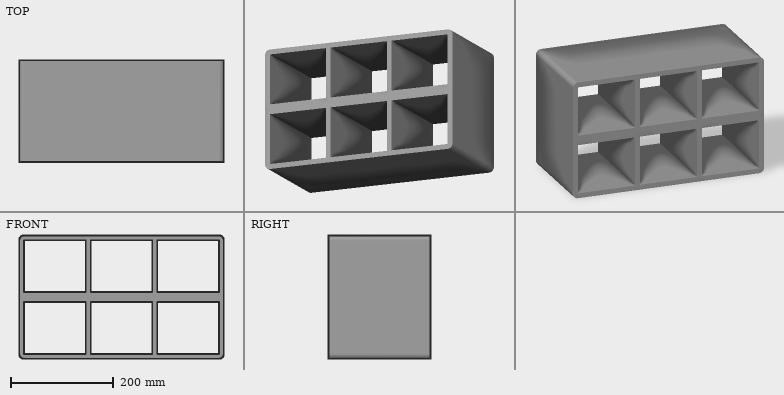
import cadquery as cq

width = 401.5
depth = 200.0
height = 242.0
corner_radius = 10.0

columns = 3
rows = 2
wall = 10.0
shelf = 2 * wall
cell_width = (width - (columns + 1) * wall) / columns
cell_height = (height - 2 * wall - (rows - 1) * shelf) / rows

body = cq.Workplane("XY").box(width, depth, height).edges("|Y").fillet(corner_radius)

compartments = (
    cq.Workplane("XZ")
    .rarray(cell_width + wall, cell_height + shelf, columns, rows)
    .rect(cell_width, cell_height)
    .extrude(depth / 2, both=True)
)

result = body.cut(compartments)